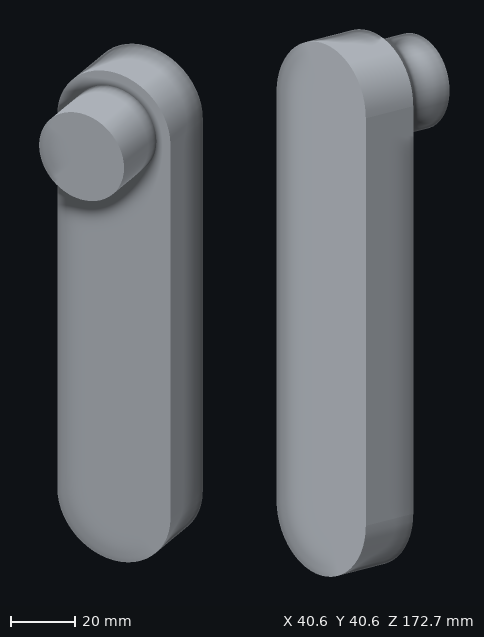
import cadquery as cq

arm_width = 40.64
arm_length = 172.72
arm_thickness = 20.32
pin_diameter = 30.48
pin_length = 20.32

center_distance = arm_length - arm_width


def make_arm():
    """Flat arm with full-round ends, long in Z, front face on Y = 0, body toward +Y."""
    slot_angle = 90
    return (
        cq.Workplane("XZ")
        .slot2D(arm_length, arm_width, slot_angle)
        .extrude(-arm_thickness)
    )


def make_pin():
    """Cylindrical pin concentric with the upper rounded end, projecting toward -Y."""
    return (
        cq.Workplane("XZ")
        .center(0, center_distance / 2)
        .circle(pin_diameter / 2)
        .extrude(pin_length)
    )


result = make_arm().union(make_pin())